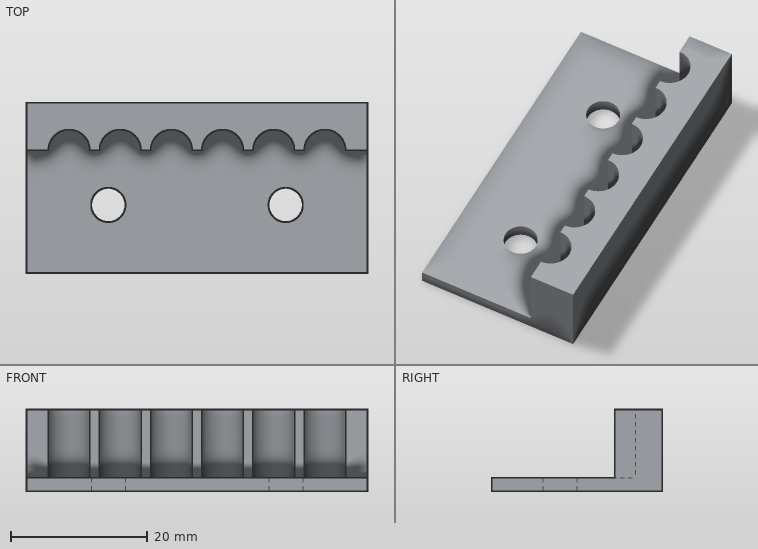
import cadquery as cq

length = 50.0
depth = 25.0
plate_thickness = 2.0

total_height = 12.0
wall_depth = 7.0
groove_diameter = 6.1
groove_pitch = 7.5
groove_count = 6

hole_diameter = 5.0
hole_spacing = 26.0
hole_from_front = 10.0

front_y = -depth / 2
wall_front_y = depth / 2 - wall_depth
wall_height = total_height - plate_thickness


def make_plate():
    """Flat plate with its underside at Z = 0."""
    return cq.Workplane("XY").box(length, depth, plate_thickness, centered=(True, True, False))


def make_wall():
    """Full-length wall standing on the rear edge of the plate."""
    return (
        cq.Workplane("XY", origin=(0, wall_front_y, plate_thickness))
        .box(length, wall_depth, wall_height, centered=(True, False, False))
    )


def make_grooves():
    """Cylinders centred on the wall's front face, ending at the plate's top."""
    return (
        cq.Workplane("XY", origin=(0, wall_front_y, plate_thickness))
        .rarray(groove_pitch, 0.5, groove_count, 1)
        .circle(groove_diameter / 2)
        .extrude(wall_height)
    )


def make_mounting_holes():
    """Pair of cylinders passing through the plate."""
    return (
        cq.Workplane("XY", origin=(0, front_y + hole_from_front, 0))
        .rarray(hole_spacing, 0.5, 2, 1)
        .circle(hole_diameter / 2)
        .extrude(plate_thickness)
    )


grooved_wall = make_wall().cut(make_grooves())
result = make_plate().cut(make_mounting_holes()).union(grooved_wall)